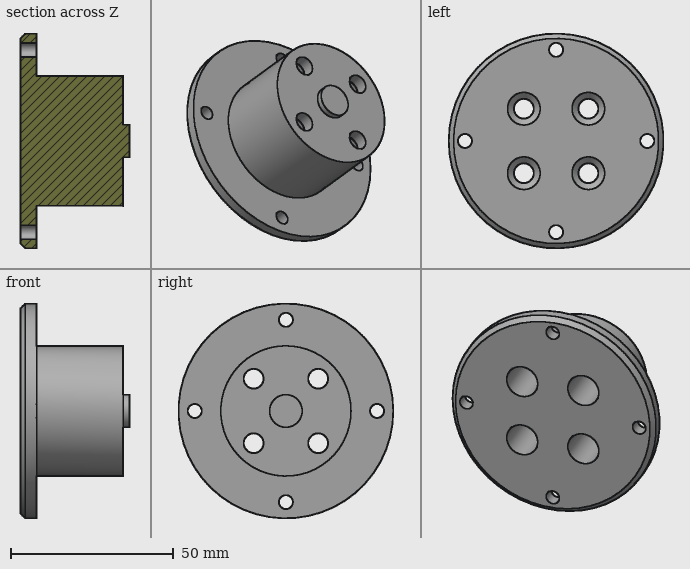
import cadquery as cq

flange_diameter = 66.0
flange_thickness = 4.95
flange_chamfer = 1.5
body_diameter = 40.0
body_end = 31.55
boss_diameter = 10.0
total_length = 33.5

bore_diameter = 10.0
bore_depth = 25.0
through_diameter = 6.0
hole_spacing = 19.8
shoulder_length = (bore_diameter - through_diameter) / 2

mount_diameter = 4.2
mount_radius = 28.0
mount_count = 4


def cylinder(diameter, length):
    """Cylinder along +X starting at the flange face."""
    return cq.Workplane("YZ").circle(diameter / 2).extrude(length)


def stepped_hole():
    """Revolved cutter: wide bore, conical shoulder, narrow through hole."""
    bore_radius = bore_diameter / 2
    through_radius = through_diameter / 2
    profile = [
        (0, 0),
        (0, bore_radius),
        (bore_depth, bore_radius),
        (bore_depth + shoulder_length, through_radius),
        (body_end, through_radius),
        (body_end, 0),
    ]
    return cq.Workplane("XY").polyline(profile).close().revolve(360, (0, 0), (1, 0))


flange = cylinder(flange_diameter, flange_thickness).faces("<X").chamfer(flange_chamfer)
body = cylinder(body_diameter, body_end)
boss = cylinder(boss_diameter, total_length)
result = flange.union(body).union(boss)

for y_side in (-1, 1):
    for z_side in (-1, 1):
        offset = (0, y_side * hole_spacing / 2, z_side * hole_spacing / 2)
        result = result.cut(stepped_hole().translate(offset))

mount_holes = (
    cq.Workplane("YZ")
    .polarArray(mount_radius, 0, 360, mount_count)
    .circle(mount_diameter / 2)
    .extrude(flange_thickness)
)
result = result.cut(mount_holes)